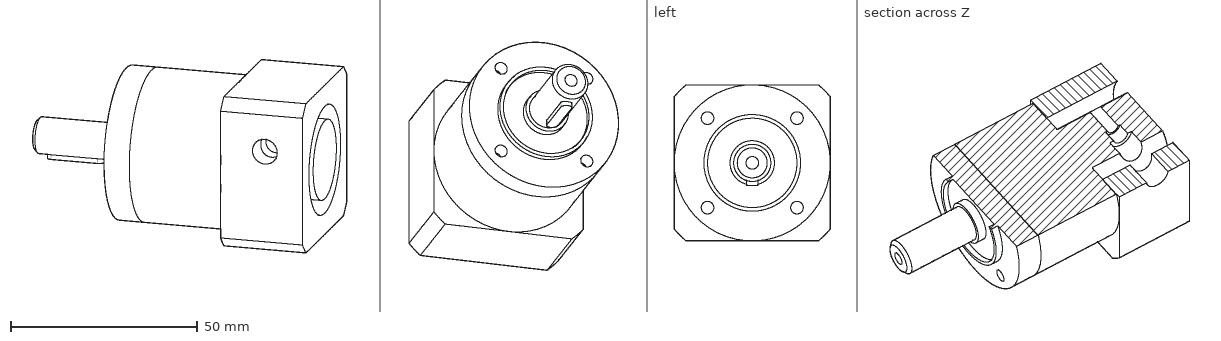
import cadquery as cq
import math


collar_start = 22.0
pilot_start = 23.0
flange_start = 25.0
ring_start = 32.1
adapter_start = 57.7
gearbox_end = 80.7

body_width = 42.0
body_radius = body_width / 2
shaft_radius = 5.0
shaft_chamfer = 1.0
collar_radius = 6.0
pilot_radius = 13.0
recess_radius = 12.0
recess_depth = 1.5
recess_floor = pilot_start + recess_depth

tapped_radius = 1.7
drill_tip_angle = 118.0
drill_tip_length = tapped_radius / math.tan(math.radians(drill_tip_angle / 2))
center_hole_depth = 10.0
mount_hole_depth = 5.65
mount_hole_offset = 12.0

key_start = 3.0
key_length = 16.0
key_width = 3.0
key_height = 3.0
key_outer_z = -6.1

adapter_corner_radius = 27.5
adapter_bore_radius = 15.0

hub_radius = 11.0
screw_x = 70.1
screw_z = 7.5
access_radius = 3.5
screw_seat_y = -3.7
clearance_radius = 2.25


def x_cylinder(radius, start, end):
    """Solid cylinder on the X axis."""
    return cq.Workplane("YZ", origin=(start, 0, 0)).circle(radius).extrude(end - start)


def screw_cylinder(radius, start_y, end_y):
    """Cylinder on the clamping screw's axis, which is parallel to Y."""
    plane = cq.Plane(origin=(screw_x, start_y, screw_z), xDir=(1, 0, 0), normal=(0, 1, 0))
    return cq.Workplane(plane).circle(radius).extrude(end_y - start_y)


def drilled_hole(start, depth, y=0, z=0):
    """Blind tapped hole going toward +X, with a conical drill tip."""
    return (
        cq.Workplane("XY")
        .moveTo(start, 0)
        .lineTo(start, tapped_radius)
        .lineTo(start + depth, tapped_radius)
        .lineTo(start + depth + drill_tip_length, 0)
        .close()
        .revolve(360, (0, 0, 0), (1, 0, 0))
        .translate((0, y, z))
    )


def make_key():
    """Key with fully rounded ends."""
    return (
        cq.Workplane("XY", origin=(key_start + key_length / 2, 0, key_outer_z))
        .slot2D(key_length, key_width)
        .extrude(key_height)
    )


def make_output(key):
    """Shaft and flange turned in one piece, with a keyway that fits the key."""
    turned = (
        cq.Workplane("XY")
        .moveTo(0, 0)
        .lineTo(0, shaft_radius - shaft_chamfer)
        .lineTo(shaft_chamfer, shaft_radius)
        .lineTo(collar_start, shaft_radius)
        .lineTo(collar_start, collar_radius)
        .lineTo(recess_floor, collar_radius)
        .lineTo(recess_floor, recess_radius)
        .lineTo(pilot_start, recess_radius)
        .lineTo(pilot_start, pilot_radius)
        .lineTo(flange_start, pilot_radius)
        .lineTo(flange_start, body_radius)
        .lineTo(ring_start, body_radius)
        .lineTo(ring_start, 0)
        .close()
        .revolve(360, (0, 0, 0), (1, 0, 0))
    )
    turned = turned.cut(drilled_hole(0, center_hole_depth))
    for y_side in (-1, 1):
        for z_side in (-1, 1):
            y = y_side * mount_hole_offset
            z = z_side * mount_hole_offset
            turned = turned.cut(drilled_hole(flange_start, mount_hole_depth, y, z))
    return turned.cut(key)


def make_gear_ring():
    """Round gear housing with the clamping hub that reaches into the motor adapter."""
    ring = x_cylinder(body_radius, ring_start, adapter_start)
    hub = x_cylinder(hub_radius, adapter_start, gearbox_end)
    screw_seat = screw_cylinder(access_radius, -body_radius, screw_seat_y)
    clearance_hole = screw_cylinder(clearance_radius, screw_seat_y, 0)
    thread_hole = screw_cylinder(tapped_radius, 0, hub_radius)
    hub = hub.cut(screw_seat).cut(clearance_hole).cut(thread_hole)
    return ring.union(hub)


def make_adapter():
    """Square motor adapter with turned corners, a bore for the hub and a screw access hole."""
    block = cq.Workplane("YZ", origin=(adapter_start, 0, 0)).rect(body_width, body_width)
    block = block.extrude(gearbox_end - adapter_start)
    block = block.intersect(x_cylinder(adapter_corner_radius, adapter_start, gearbox_end))
    block = block.cut(x_cylinder(adapter_bore_radius, adapter_start, gearbox_end))
    return block.cut(screw_cylinder(access_radius, -body_radius, 0))


key = make_key()
output = make_output(key)
gear_ring = make_gear_ring()
adapter = make_adapter()

result = cq.Compound.makeCompound([output.val(), key.val(), gear_ring.val(), adapter.val()])